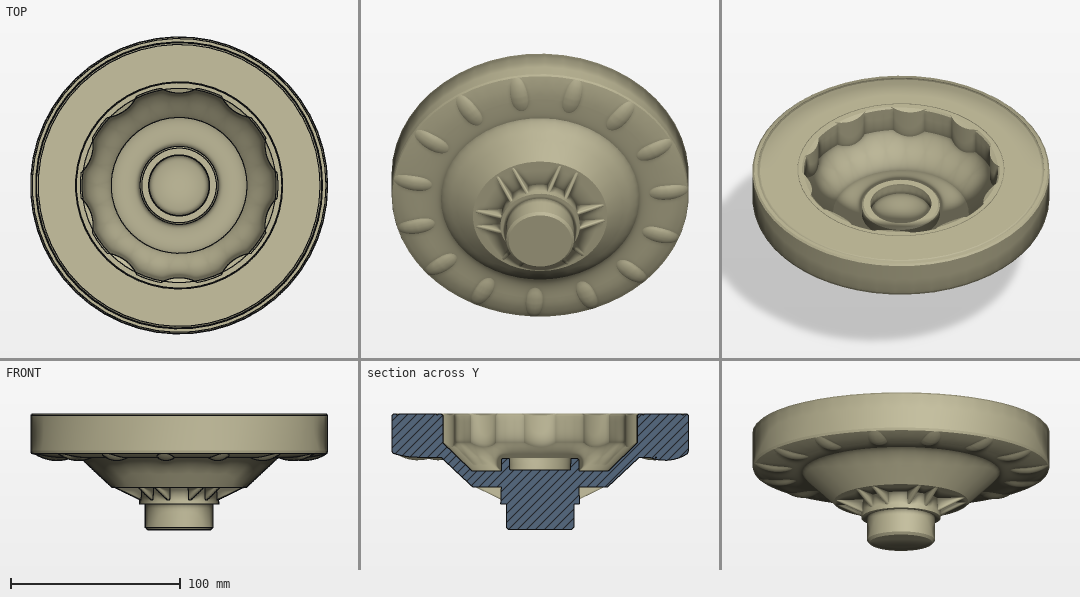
import cadquery as cq
import math

RIM_RADIUS = 87.5
RIM_BOTTOM_INSET = 0.5
RIM_TOP_CHAMFER = 1.0
RIM_SIDE_BOTTOM = -21.7
UNDERSIDE_OUTER_Z = -23.2
UNDERSIDE_Z = -25.7
UNDERSIDE_FLAT_RADIUS = 72.0

OUTER_GROOVE_RADIUS = 84.5
OUTER_GROOVE_SLOPE_WIDTH = 1.0
INNER_GROOVE_RADIUS = 61.0
GROOVE_WIDTH = 0.5
GROOVE_DEPTH = 0.5

WALL_RADIUS = 57.2
LIP_CHAMFER = 1.0
WALL_BOTTOM = -17.0
FLOOR_RADIUS = 40.0
FLOOR_Z = -33.6

DISH_OUTER_RADIUS = 58.4
DISH_BOTTOM_RADIUS = 39.6
DISH_BOTTOM_Z = -43.3

COLLAR_BOTTOM_RADIUS = 23.4
COLLAR_TOP_RADIUS = 23.0
COLLAR_BOTTOM_Z = -53.2
HUB_RADIUS = 20.0
HUB_BOTTOM_Z = -68.33
HUB_CHAMFER = 1.5

BOSS_RADIUS = 23.0
BOSS_TOP_Z = -26.0
BOSS_CHAMFER = 1.0
RECESS_MOUTH_RADIUS = 18.0
RECESS_MOUTH_DEPTH = 1.0
RECESS_FLOOR_RADIUS = 17.75
RECESS_FLOOR_Z = -33.0

LOBE_COUNT = 10
LOBE_FIRST_ANGLE = 90.0
LOBE_CYLINDER_RADIUS = 22.0
LOBE_INNER_RADIUS = 54.4
LOBE_CROWN_DROP = 1.2
LOBE_FOOT_OVERLAP = 1.0
LOBE_ROOT_RADIUS = WALL_RADIUS + 2.0

BUMP_COUNT = 15
BUMP_RADIUS = 73.5
BUMP_LOWEST_Z = -27.5
BUMP_LENGTH_CURVE = 24.0
BUMP_TUBE_RADIUS = 8.0

RIB_PAIR_COUNT = 6
RIB_OFFSET = 5.5
RIB_THICKNESS = 2.1
RIB_INNER_REACH = 20.5
RIB_COLLAR_REACH = 22.4
RIB_COLLAR_Z = -50.9
RIB_OUTER_REACH = 38.0
RIB_EDGE_FILLET = 0.9


def make_wheel_body():
    """Revolve the whole round body: rim, dish, collar, hub and boss."""
    drop = UNDERSIDE_OUTER_Z - UNDERSIDE_Z
    edge_radius = RIM_RADIUS - RIM_BOTTOM_INSET
    span = edge_radius - UNDERSIDE_FLAT_RADIUS
    curve_radius = (span**2 + drop**2) / (2 * drop)
    half_angle = math.asin(span / curve_radius) / 2
    curve_middle = (
        UNDERSIDE_FLAT_RADIUS + curve_radius * math.sin(half_angle),
        UNDERSIDE_Z + curve_radius * (1 - math.cos(half_angle)),
    )
    profile = (
        cq.Workplane("XZ")
        .moveTo(0, RECESS_FLOOR_Z)
        .lineTo(RECESS_FLOOR_RADIUS, RECESS_FLOOR_Z)
        .lineTo(RECESS_MOUTH_RADIUS, BOSS_TOP_Z - RECESS_MOUTH_DEPTH)
        .lineTo(RECESS_MOUTH_RADIUS, BOSS_TOP_Z)
        .lineTo(BOSS_RADIUS - BOSS_CHAMFER, BOSS_TOP_Z)
        .lineTo(BOSS_RADIUS, BOSS_TOP_Z - BOSS_CHAMFER)
        .lineTo(BOSS_RADIUS, FLOOR_Z)
        .lineTo(FLOOR_RADIUS, FLOOR_Z)
        .lineTo(WALL_RADIUS, WALL_BOTTOM)
        .lineTo(WALL_RADIUS, -LIP_CHAMFER)
        .lineTo(WALL_RADIUS + LIP_CHAMFER, 0)
        .lineTo(RIM_RADIUS - RIM_TOP_CHAMFER, 0)
        .lineTo(RIM_RADIUS, -RIM_TOP_CHAMFER)
        .lineTo(RIM_RADIUS, RIM_SIDE_BOTTOM)
        .lineTo(edge_radius, UNDERSIDE_OUTER_Z)
        .threePointArc(curve_middle, (UNDERSIDE_FLAT_RADIUS, UNDERSIDE_Z))
        .lineTo(DISH_OUTER_RADIUS, UNDERSIDE_Z)
        .lineTo(DISH_BOTTOM_RADIUS, DISH_BOTTOM_Z)
        .lineTo(COLLAR_TOP_RADIUS, DISH_BOTTOM_Z)
        .lineTo(COLLAR_BOTTOM_RADIUS, COLLAR_BOTTOM_Z)
        .lineTo(HUB_RADIUS, COLLAR_BOTTOM_Z)
        .lineTo(HUB_RADIUS, HUB_BOTTOM_Z + HUB_CHAMFER)
        .lineTo(HUB_RADIUS - HUB_CHAMFER, HUB_BOTTOM_Z)
        .lineTo(0, HUB_BOTTOM_Z)
        .close()
    )
    return profile.revolve(360, (0, 0), (0, 1))


def make_groove(outer_radius, slope_width=0.0):
    """Ring-shaped cutter for a shallow groove whose inner side may slope up to the top face."""
    floor_inner_radius = outer_radius - GROOVE_WIDTH
    profile = (
        cq.Workplane("XZ")
        .moveTo(outer_radius, 0)
        .lineTo(outer_radius, -GROOVE_DEPTH)
        .lineTo(floor_inner_radius, -GROOVE_DEPTH)
        .lineTo(floor_inner_radius - slope_width, 0)
        .close()
    )
    return profile.revolve(360, (0, 0), (0, 1))


def make_lobe():
    """One convex lobe of the cavity wall, pointing along +X, with a sloped crown."""
    column = (
        cq.Workplane("XY")
        .center(LOBE_INNER_RADIUS + LOBE_CYLINDER_RADIUS, 0)
        .circle(LOBE_CYLINDER_RADIUS)
        .extrude(FLOOR_Z)
    )
    wall_slope = (WALL_BOTTOM - FLOOR_Z) / (WALL_RADIUS - FLOOR_RADIUS)
    foot_z = WALL_BOTTOM - wall_slope * (WALL_RADIUS - LOBE_INNER_RADIUS) - LOBE_FOOT_OVERLAP
    envelope = (
        cq.Workplane("XZ")
        .moveTo(LOBE_ROOT_RADIUS, 0)
        .lineTo(WALL_RADIUS, 0)
        .lineTo(LOBE_INNER_RADIUS, -LOBE_CROWN_DROP)
        .lineTo(LOBE_INNER_RADIUS, foot_z)
        .lineTo(LOBE_ROOT_RADIUS, WALL_BOTTOM - LOBE_FOOT_OVERLAP)
        .close()
        .revolve(360, (0, 0), (0, 1))
    )
    return column.intersect(envelope)


def make_bump():
    """One rounded finger bump under the rim, lying along +X."""
    curve_centre = cq.Vector(BUMP_RADIUS, 0, BUMP_LOWEST_Z + BUMP_LENGTH_CURVE)
    path_radius = BUMP_LENGTH_CURVE - BUMP_TUBE_RADIUS
    ring = cq.Workplane(cq.Solid.makeTorus(path_radius, BUMP_TUBE_RADIUS, curve_centre, cq.Vector(0, 1, 0)))
    keep = (
        cq.Workplane("XY", origin=(BUMP_RADIUS, 0, UNDERSIDE_OUTER_Z))
        .rect(2 * (RIM_RADIUS - RIM_BOTTOM_INSET - BUMP_RADIUS), 4 * BUMP_TUBE_RADIUS)
        .extrude(2 * BUMP_LOWEST_Z)
    )
    return ring.intersect(keep)


def make_rib(offset):
    """One sloping rib parallel to +X, from the collar to the dish bottom."""
    slope = (DISH_BOTTOM_Z - RIB_COLLAR_Z) / (RIB_OUTER_REACH - RIB_COLLAR_REACH)
    inner_z = RIB_COLLAR_Z - slope * (RIB_COLLAR_REACH - RIB_INNER_REACH)
    side_face = (
        cq.Workplane("XZ", origin=(0, offset + RIB_THICKNESS / 2, 0))
        .moveTo(RIB_INNER_REACH, DISH_BOTTOM_Z)
        .lineTo(RIB_INNER_REACH, inner_z)
        .lineTo(RIB_OUTER_REACH, DISH_BOTTOM_Z)
        .close()
    )
    return side_face.extrude(RIB_THICKNESS).edges("not (|X or |Y or |Z)").fillet(RIB_EDGE_FILLET)


def around(feature, count, first_angle=0.0):
    """Copies of a feature spaced evenly about the Z axis."""
    step = 360 / count
    return [feature.rotate((0, 0, 0), (0, 0, 1), first_angle + i * step) for i in range(count)]


def build_wheel():
    """Join the lobes, bumps and ribs to the round body and cut the grooves."""
    additions = around(make_lobe(), LOBE_COUNT, LOBE_FIRST_ANGLE)
    additions += around(make_bump(), BUMP_COUNT)
    for offset in (-RIB_OFFSET, RIB_OFFSET):
        additions += around(make_rib(offset), RIB_PAIR_COUNT)
    body = make_wheel_body().val().fuse(*[item.val() for item in additions])
    wheel = cq.Workplane(body)
    wheel = wheel.cut(make_groove(OUTER_GROOVE_RADIUS, OUTER_GROOVE_SLOPE_WIDTH))
    return wheel.cut(make_groove(INNER_GROOVE_RADIUS))


result = build_wheel()